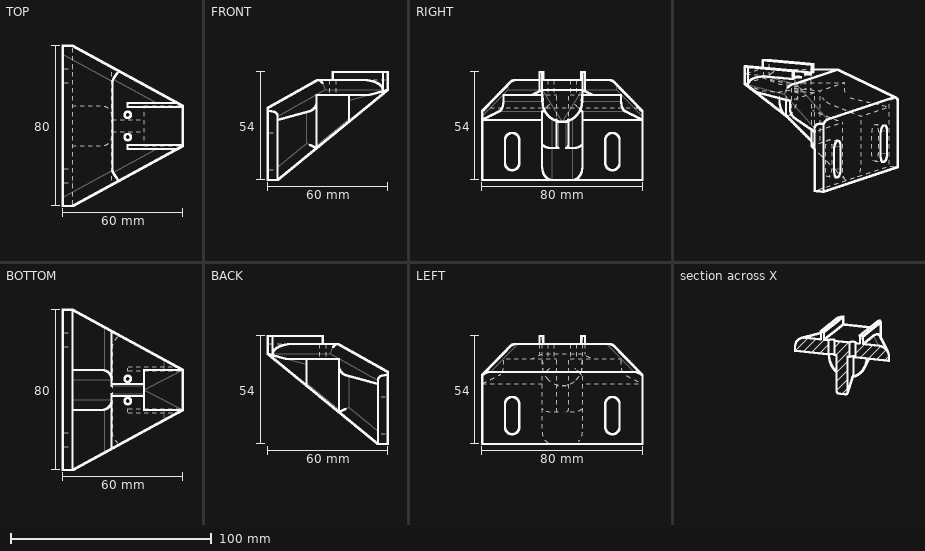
import cadquery as cq

length = 60.0
width = 80.0
wall = width / 16
plate_thickness = wall
plate_height = 36.0
deck_height = 50.0
deck_start = 25.0
nose_width = 20.0
nose_edge_height = deck_height - wall
edge_radius = wall

cover_root_height = 30.0
ceiling_height = 42.4

support_width = nose_width
recess_start = 24.5
recess_end = 40.6
rib_width = 6.0
rib_edge_radius = 1.0

rail_start = 32.5
rail_top = 54.0
rail_thickness = 2.0
rail_gap = 18.8
hole_diameter = 3.0
hole_spacing = 11.0
slot_spacing = 50.0
slot_width = 7.0
slot_length = 18.5
slot_bottom = wall

side_slope = (width - nose_width) / 2 / (length - plate_thickness)
cover_slope = (nose_edge_height - cover_root_height) / (length - plate_thickness)
support_slope = nose_edge_height / (length - plate_thickness)
ceiling_end = plate_thickness + (ceiling_height - cover_root_height) / cover_slope


def cover_underside(x):
    """Height of the cover's sloping underside at x."""
    return cover_root_height + cover_slope * (x - plate_thickness)


def support_bottom(x):
    """Height of the support's sloping lower face at x."""
    return support_slope * (x - plate_thickness)


def side_prism(points, prism_width):
    """Extrude an XZ outline to a prism centred on the plane Y = 0."""
    return cq.Workplane("XZ").polyline(points).close().extrude(prism_width / 2, both=True)


def tapered_plan(height):
    """Prism over the tapered plan, with the slanted sides carried on to X = 0."""
    back_half = width / 2 + side_slope * plate_thickness
    nose_half = nose_width / 2
    corners = [(0, -back_half), (length, -nose_half), (length, nose_half), (0, back_half)]
    return cq.Workplane("XY").polyline(corners).close().extrude(height)


def make_shell():
    """Back plate and cover, with rounded upper side edges and a stepped underside."""
    outer = [
        (0, 0),
        (0, plate_height),
        (deck_start, deck_height),
        (length, deck_height),
        (length, 0),
    ]
    shell = side_prism(outer, 2 * width).intersect(tapered_plan(deck_height))
    slope_middle = (deck_start / 2, (plate_height + deck_height) / 2)
    deck_middle = ((deck_start + length) / 2, deck_height)
    side_edges = []
    for x, z in (slope_middle, deck_middle):
        half = nose_width / 2 + side_slope * (length - x)
        for side in (-1, 1):
            side_edges.append(shell.edges(cq.NearestToPointSelector((x, side * half, z))).val())
    shell = shell.newObject(side_edges).fillet(edge_radius)

    hollow = [
        (plate_thickness, 0),
        (plate_thickness, cover_root_height),
        (recess_start, cover_underside(recess_start)),
        (recess_start, ceiling_height),
        (ceiling_end, ceiling_height),
        (length, nose_edge_height),
        (length, 0),
    ]
    shell = shell.cut(side_prism(hollow, 2 * width))
    step_corner = cq.NearestToPointSelector((recess_start, 0, cover_underside(recess_start)))
    shell = shell.edges("|Y").edges(step_corner).fillet(edge_radius)
    return shell.intersect(cq.Workplane("XY").box(2 * length, width, 2 * deck_height))


def make_rear_support():
    """Wide block behind the plate, rounded at its lower and front side edges."""
    outline = [
        (plate_thickness, 0),
        (recess_start, support_bottom(recess_start)),
        (recess_start, ceiling_height),
        (plate_thickness, cover_root_height),
    ]
    block = side_prism(outline, support_width)
    middle_x = (plate_thickness + recess_start) / 2
    edges = []
    for side in (-1, 1):
        y = side * support_width / 2
        lower = (middle_x, y, support_bottom(middle_x))
        front = (recess_start, y, (support_bottom(recess_start) + ceiling_height) / 2)
        for point in (lower, front):
            edges.append(block.edges(cq.NearestToPointSelector(point)).val())
    return block.newObject(edges).fillet(edge_radius)


def make_rib():
    """Thin rib between the two recesses, rounded below and rooted inside the rear support."""
    rib_root = recess_start - edge_radius
    outline = [
        (rib_root, support_bottom(rib_root)),
        (recess_end, support_bottom(recess_end)),
        (recess_end, ceiling_height),
        (rib_root, ceiling_height),
    ]
    rib = side_prism(outline, rib_width)
    return rib.faces("<Z").edges("not |Y").fillet(rib_edge_radius)


def make_nose():
    """Wedge in front of the recesses; its elliptical underside fades out at the tip."""
    bottom = support_bottom(recess_end)
    outline = [
        (recess_end, ceiling_height),
        (recess_end, bottom),
        (length, nose_edge_height),
        (ceiling_end, ceiling_height),
    ]
    nose = side_prism(outline, support_width)
    round_height = cover_underside(recess_end) - bottom
    half = support_width / 2
    waste = (
        cq.Workplane("YZ", origin=(recess_end, 0, bottom + round_height))
        .ellipseArc(half, round_height, 270, 360, startAtCurrent=False)
        .lineTo(half, -round_height)
        .close()
        .wire()
        .val()
    )
    tip = cq.Vertex.makeVertex(length, half, nose_edge_height)
    cutter = cq.Workplane(cq.occ_impl.shapes.loft(waste, tip, cap=True, ruled=True))
    return nose.cut(cutter).cut(cutter.mirror("XZ"))


def make_rails():
    """Two parallel rails and the flat bed between them, trimmed to the tapered plan at the tip."""
    rail_length = length - rail_start
    blank = (
        cq.Workplane("XY", origin=(rail_start + rail_length / 2, 0, nose_edge_height))
        .rect(rail_length, rail_gap + 2 * rail_thickness)
        .extrude(rail_top - nose_edge_height)
    )
    channel = (
        cq.Workplane("XY", origin=(rail_start + rail_length / 2, 0, deck_height))
        .rect(rail_length, rail_gap)
        .extrude(rail_top - deck_height)
    )
    return blank.cut(channel).intersect(tapered_plan(rail_top))


def make_pin_holes():
    """Cutters for the two round holes through the deck."""
    return (
        cq.Workplane("XY", origin=(rail_start, 0, ceiling_height))
        .pushPoints([(0, -hole_spacing / 2), (0, hole_spacing / 2)])
        .circle(hole_diameter / 2)
        .extrude(deck_height - ceiling_height)
    )


def make_mounting_slots():
    """Cutters for the two upright slots through the back plate."""
    return (
        cq.Workplane("YZ", origin=(0, 0, slot_bottom + slot_length / 2))
        .pushPoints([(-slot_spacing / 2, 0), (slot_spacing / 2, 0)])
        .slot2D(slot_length, slot_width, 90)
        .extrude(plate_thickness)
    )


result = (
    make_shell()
    .union(make_rear_support())
    .union(make_rib())
    .union(make_nose())
    .union(make_rails())
    .cut(make_pin_holes())
    .cut(make_mounting_slots())
)